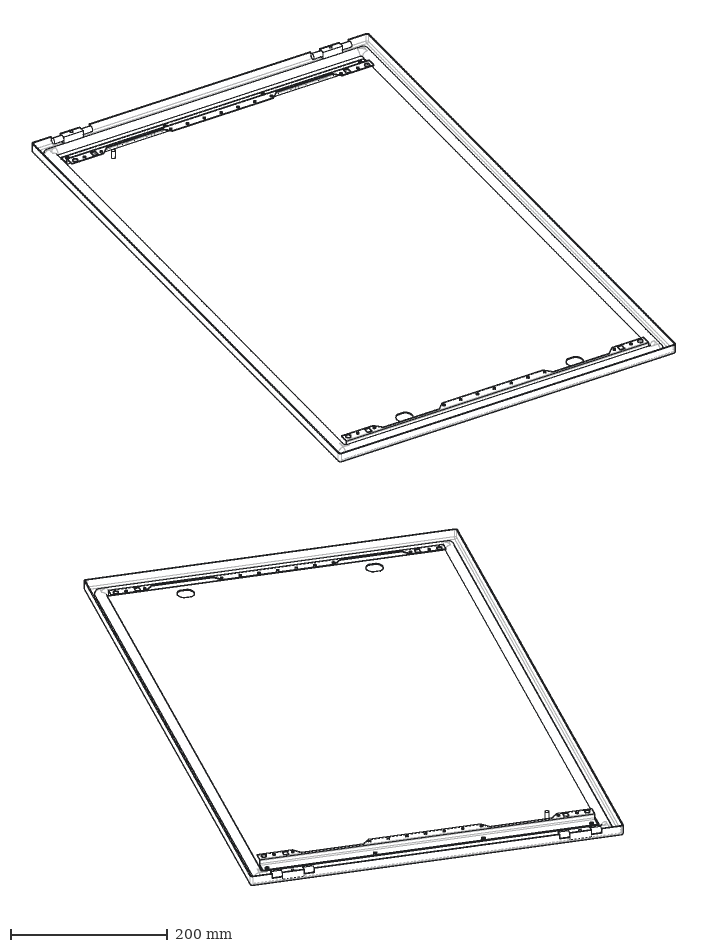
import cadquery as cq
import math

LENGTH = 796.5
WIDTH = 495.0
HEIGHT = 14.0
SHEET = 1.5
BEND_RADIUS = 3.0
INNER_BEND_RADIUS = 2.0
FLOOR_Z = -HEIGHT / 2 + SHEET
INNER_WALL_X = -LENGTH / 2 + SHEET

LOCK_X = 351.0
LOCK_Y = 125.0
LOCK_DIAMETER = 22.0
LOCK_FLATS = 20.0

BEAD_RADIUS = 7.0
BEAD_LEFT_X = -381.0
BEAD_RIGHT_X = 379.0
BEAD_Y = 231.0
BEAD_HALF_LENGTH = (BEAD_RIGHT_X - BEAD_LEFT_X) / 2
BEAD_INNER_CORNER = 2.0

HINGE_Y = 190.0
HINGE_LENGTH = 56.0
BARREL_LENGTH = 13.5
BARREL_RADIUS = 4.0
BARREL_X = INNER_WALL_X + BARREL_RADIUS
BARREL_Z = HEIGHT / 2 - BARREL_RADIUS
NOTCH_BOTTOM_Z = 1.0
PLATE_BOTTOM_Z = FLOOR_Z + INNER_BEND_RADIUS
HINGE_HOLE_DIAMETER = 3.5
HINGE_HOLE_X = -394.0

RAIL_LENGTH = 444.0
RAIL_SHEET = 1.2
RAIL_TOP_Z = 3.0
RAIL_BEND_RADIUS = 1.5
LIP_WIDTH = 4.0
TAB_WIDTH = 13.5
FLANGE_WIDTH = 14.0
LEFT_RAIL_X = -351.0
RIGHT_RAIL_X = 372.0
TAB_CHAMFER = TAB_WIDTH - LIP_WIDTH
MIDDLE_TAB_END = 84.0
END_TAB_START = 166.0
TAB_HOLE_DIAMETER = 3.5
TAB_HOLE_INSET = 9.0
TAB_HOLE_PITCH = 25.0
MIDDLE_TAB_HOLES = 7
END_TAB_HOLES_Y = (176.0, 201.0)
TAB_SLOT_Y = 185.5
TAB_SLOT_WIDTH = 6.0
TAB_SLOT_MARGIN = 1.5
END_HOLE_DIAMETER = 7.0
END_HOLE_Y = 214.0
FLANGE_HOLE_DIAMETER = 5.0
FLANGE_HOLE_INSET = 9.5
FLANGE_HOLES_Y = (72.0, 215.0)

STUD_X = -334.0
STUD_Y = -163.0
STUD_DIAMETER = 5.0
STUD_HEIGHT = 11.0


def block(x_min, x_max, y_min, y_max, z_min, z_max):
    """A box between the given limits."""
    size = (x_max - x_min, y_max - y_min, z_max - z_min)
    return cq.Workplane("XY").box(*size, centered=False).translate((x_min, y_min, z_min))


def upright(diameter, x, y, z_min, z_max):
    """A cylinder along Z between two heights."""
    return (
        cq.Workplane("XY", origin=(x, y, z_min)).circle(diameter / 2).extrude(z_max - z_min)
    )


def barrel_spans(hinge_y):
    """Y limits of the two barrels of a hinge centred at hinge_y."""
    half = HINGE_LENGTH / 2
    return (
        (hinge_y - half, hinge_y - half + BARREL_LENGTH),
        (hinge_y + half - BARREL_LENGTH, hinge_y + half),
    )


def make_door():
    """Folded tray with lock holes in its floor and hinge notches in its -X wall."""
    tray = cq.Workplane("XY").box(LENGTH, WIDTH, HEIGHT)
    tray = tray.edges("|Z").fillet(BEND_RADIUS).faces("<Z").edges().fillet(BEND_RADIUS)
    cavity = cq.Workplane("XY").box(LENGTH - 2 * SHEET, WIDTH - 2 * SHEET, HEIGHT)
    cavity = cavity.edges("|Z").fillet(INNER_BEND_RADIUS).faces("<Z").edges().fillet(INNER_BEND_RADIUS)
    tray = tray.cut(cavity.translate((0, 0, SHEET)))

    for side in (-1, 1):
        y = side * LOCK_Y
        hole = upright(LOCK_DIAMETER, LOCK_X, y, -HEIGHT, HEIGHT)
        flats = cq.Workplane("XY").box(LOCK_FLATS, LOCK_DIAMETER, 2 * HEIGHT)
        tray = tray.cut(hole.intersect(flats.translate((LOCK_X, y, 0))))

    for hinge_y in (-HINGE_Y, HINGE_Y):
        for y_min, y_max in barrel_spans(hinge_y):
            notch = block(-LENGTH / 2, INNER_WALL_X, y_min, y_max, NOTCH_BOTTOM_Z, HEIGHT / 2)
            tray = tray.cut(notch)
    return tray


def make_hinge(hinge_y):
    """Two barrels along Y joined by a flat plate with a small hole."""
    lower, upper = barrel_spans(hinge_y)
    plate_end_x = INNER_WALL_X + 2 * BARREL_RADIUS
    hinge = block(INNER_WALL_X, plate_end_x, lower[1], upper[0], PLATE_BOTTOM_Z, HEIGHT / 2)
    for y_min, y_max in (lower, upper):
        barrel = cq.Workplane("XZ", origin=(BARREL_X, y_min, BARREL_Z)).circle(BARREL_RADIUS)
        hinge = hinge.union(barrel.extrude(y_min - y_max))
    return hinge.cut(upright(HINGE_HOLE_DIAMETER, HINGE_HOLE_X, hinge_y, -HEIGHT, HEIGHT))


def half_round_run(length):
    """Half-round bead along X, centred on the origin and standing on the tray floor."""
    half_disc = cq.Workplane("YZ", origin=(-length / 2, 0, FLOOR_Z)).moveTo(-BEAD_RADIUS, 0)
    half_disc = half_disc.threePointArc((0, BEAD_RADIUS), (BEAD_RADIUS, 0)).close()
    return half_disc.extrude(length)


def bead_corner():
    """Outer ball and inner bend of the +X +Y corner, with the ridges meeting at the origin."""
    ball = cq.Workplane("XY").sphere(BEAD_RADIUS)
    ball = ball.intersect(block(0, BEAD_RADIUS, 0, BEAD_RADIUS, 0, BEAD_RADIUS))

    reach = BEAD_RADIUS + BEAD_INNER_CORNER
    arc_middle = BEAD_RADIUS * math.sqrt(0.5)
    inner = block(-reach, 0, -reach, 0, 0, BEAD_RADIUS)
    core = cq.Workplane("XY", origin=(-reach, -reach, 0)).circle(reach).extrude(BEAD_RADIUS)
    bend = (
        cq.Workplane("XZ", origin=(-reach, -reach, 0))
        .moveTo(reach, 0)
        .lineTo(reach, BEAD_RADIUS)
        .threePointArc((reach - arc_middle, arc_middle), (BEAD_INNER_CORNER, 0))
        .close()
        .revolve(360, (0, 0, 0), (0, 1, 0))
    )
    return ball, inner.cut(core).union(inner.intersect(bend))


def make_gasket():
    """Half-round bead with ball-shaped outer corners and rounded inner corners."""
    run_x = half_round_run(2 * BEAD_HALF_LENGTH)
    run_y = half_round_run(2 * BEAD_Y).rotate((0, 0, 0), (0, 0, 1), 90)
    gasket = run_x.translate((0, BEAD_Y, 0)).union(run_x.translate((0, -BEAD_Y, 0)))
    for x in (-BEAD_HALF_LENGTH, BEAD_HALF_LENGTH):
        gasket = gasket.union(run_y.translate((x, 0, 0)))
    for piece in bead_corner():
        piece = piece.translate((BEAD_HALF_LENGTH, BEAD_Y, FLOOR_Z))
        pair = piece.union(piece.mirror("YZ"))
        gasket = gasket.union(pair).union(pair.mirror("XZ"))
    return gasket.translate(((BEAD_LEFT_X + BEAD_RIGHT_X) / 2, 0, 0))


def tab(start, end, start_chamfer, end_chamfer):
    """Tab at the edge of the lip, flush with the rail top, with its outer corners cut back along Y."""
    outline = [
        (LIP_WIDTH, start),
        (TAB_WIDTH, start + start_chamfer),
        (TAB_WIDTH, end - end_chamfer),
        (LIP_WIDTH, end),
    ]
    plate = cq.Workplane("XY", origin=(0, 0, RAIL_TOP_Z - RAIL_SHEET)).polyline(outline).close()
    return plate.extrude(RAIL_SHEET)


def tab_hole(diameter, y):
    """Cutter for a hole through a tab."""
    return upright(diameter, TAB_HOLE_INSET, y, FLOOR_Z, RAIL_TOP_Z)


def make_rail(has_flange):
    """Rail along Y with its wall's outer face at x = 0 and its tabs toward +X."""
    half = RAIL_LENGTH / 2
    flange_top_z = FLOOR_Z + RAIL_SHEET

    rail = block(0, LIP_WIDTH, -half, half, FLOOR_Z, RAIL_TOP_Z)
    rail = rail.edges("|Y and >Z and <X").fillet(RAIL_BEND_RADIUS)
    rail = rail.cut(block(RAIL_SHEET, LIP_WIDTH, -half, half, FLOOR_Z, RAIL_TOP_Z - RAIL_SHEET))

    if has_flange:
        rail = rail.union(block(-FLANGE_WIDTH, 0, -half, half, FLOOR_Z, flange_top_z))
        foot = cq.selectors.NearestToPointSelector((0, 0, flange_top_z))
        rail = rail.edges(foot).fillet(RAIL_BEND_RADIUS)
        for y in FLANGE_HOLES_Y:
            for hole_y in (-y, y):
                rail = rail.cut(
                    upright(FLANGE_HOLE_DIAMETER, -FLANGE_HOLE_INSET, hole_y, FLOOR_Z, flange_top_z)
                )

    rail = rail.union(tab(-MIDDLE_TAB_END, MIDDLE_TAB_END, TAB_CHAMFER, TAB_CHAMFER))
    for index in range(MIDDLE_TAB_HOLES):
        y = (index - (MIDDLE_TAB_HOLES - 1) / 2) * TAB_HOLE_PITCH
        rail = rail.cut(tab_hole(TAB_HOLE_DIAMETER, y))

    rail = rail.union(tab(END_TAB_START, half, TAB_CHAMFER, 0))
    rail = rail.union(tab(-half, -END_TAB_START, 0, TAB_CHAMFER))
    for side in (-1, 1):
        slot_y = side * TAB_SLOT_Y
        slot_start = slot_y - TAB_SLOT_WIDTH / 2
        slot_end = slot_y + TAB_SLOT_WIDTH / 2
        slot_tip = TAB_WIDTH - TAB_SLOT_MARGIN
        rail = rail.cut(block(LIP_WIDTH, slot_tip, slot_start, slot_end, FLOOR_Z, RAIL_TOP_Z))
        rail = rail.cut(tab_hole(END_HOLE_DIAMETER, side * END_HOLE_Y))
        for y in END_TAB_HOLES_Y:
            rail = rail.cut(tab_hole(TAB_HOLE_DIAMETER, side * y))
    return rail


def make_stud():
    """Earth stud standing on the tray floor."""
    return upright(STUD_DIAMETER, STUD_X, STUD_Y, FLOOR_Z, FLOOR_Z + STUD_HEIGHT)


door = make_door()
gasket = make_gasket()
hinges = [make_hinge(y) for y in (-HINGE_Y, HINGE_Y)]
left_rail = make_rail(has_flange=True).translate((LEFT_RAIL_X, 0, 0))
right_rail = make_rail(has_flange=False).rotate((0, 0, 0), (0, 0, 1), 180).translate((RIGHT_RAIL_X, 0, 0))
stud = make_stud()

result = cq.Compound.makeCompound(
    [
        door.val(),
        gasket.val(),
        *[hinge.val() for hinge in hinges],
        left_rail.val(),
        right_rail.val(),
        stud.val(),
    ]
)